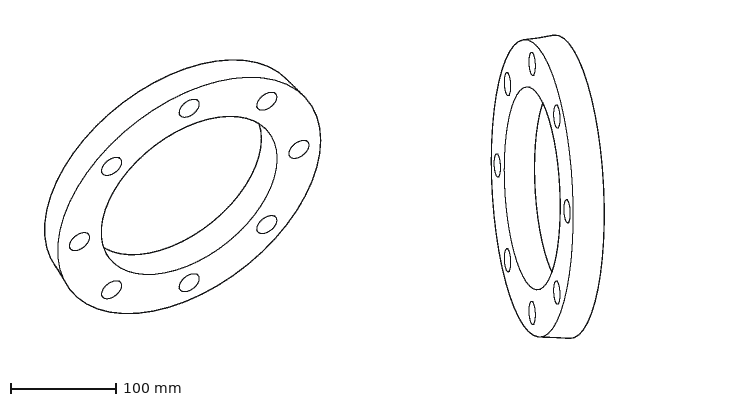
import cadquery as cq

thickness = 30.0
large_diameter = 289.0
small_diameter = 283.2
bore_diameter = 193.0
bolt_hole_diameter = 22.0
bolt_circle_diameter = 241.0
bolt_hole_count = 8


def tapered_ring():
    """Ring about the X axis whose outer side widens toward +X."""
    bore_radius = bore_diameter / 2
    section = [
        (0, bore_radius),
        (0, small_diameter / 2),
        (thickness, large_diameter / 2),
        (thickness, bore_radius),
    ]
    profile = cq.Workplane("XY").polyline(section).close()
    return profile.revolve(360, (0, 0, 0), (1, 0, 0))


def bolt_holes():
    """Cylinders through the full thickness, evenly spaced on the bolt circle."""
    centers = cq.Workplane("YZ").polarArray(bolt_circle_diameter / 2, 0, 360, bolt_hole_count)
    return centers.circle(bolt_hole_diameter / 2).extrude(thickness)


result = tapered_ring().cut(bolt_holes())